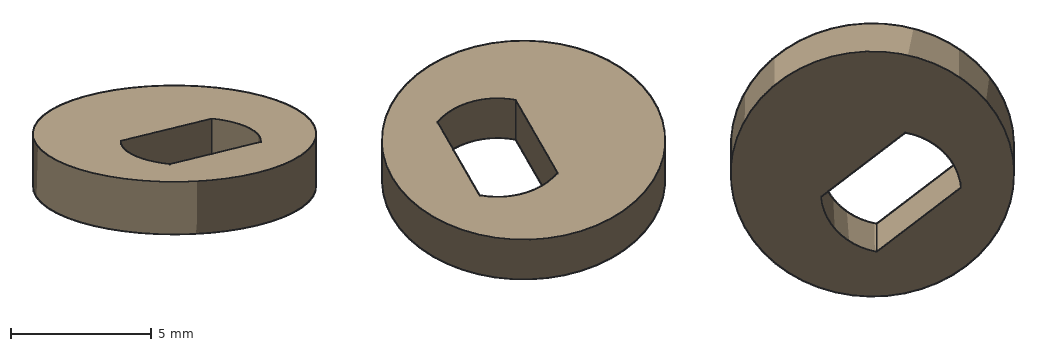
import cadquery as cq

disc_diameter = 10.1
thickness = 2.0

hole_offset_x = 1.0
hole_diameter = 5.0
hole_width = 3.0


def double_flat_cutter():
    """Cylinder trimmed by two parallel flats, centred on the hole axis."""
    cylinder = cq.Workplane("XY").circle(hole_diameter / 2).extrude(thickness)
    flats = cq.Workplane("XY").rect(hole_width, hole_diameter).extrude(thickness)
    return cylinder.intersect(flats)


disc = cq.Workplane("XY").circle(disc_diameter / 2).extrude(thickness)
result = disc.cut(double_flat_cutter().translate((hole_offset_x, 0, 0)))